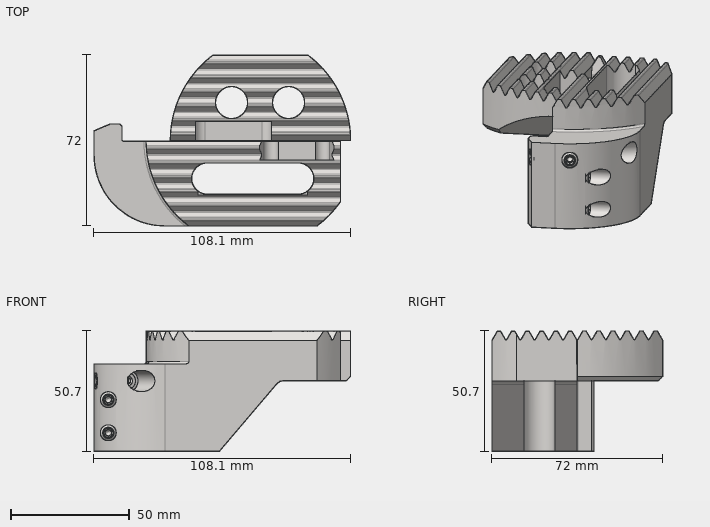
import cadquery as cq
import math

half_depth = 36.0
arc_radius = 45.0
jaw_bottom = 29.6

teeth_per_jaw = 6
tooth_pitch = half_depth / teeth_per_jaw
crest_width = 1.4
crest_radius = 0.5
root_radius = 0.3
flank_angle = 60.0
flank_width = (tooth_pitch - crest_width) / 2

front_crest = 50.6
front_back = 35.8
front_length = 103.9
front_arc_x = 66.9
step_top = 36.8
step_fillet = 1.0
corner_radius = 29.9
foot_length = 52.9
slope_end = 78.0
slope_fillet = 4.0
hook_slant_start = (0, 40.1)
hook_slant_end = (6.8, 43.0)
hook_inner_x = 11.9
hook_tip_chamfer = 1.0
hook_root_fillet = 0.5

slot_left, slot_right = 41.2, 92.5
slot_y = 20.0
slot_width = 13.1
relief_left, relief_right = 43.8, 89.9
relief_front = 13.1
relief_floor = 46.6

notch_back = 27.9
notch_left, notch_right = 71.6, 99.2
notch_floor = 43.2
notch_flare = 1.8
groove_radius = 3.0

rear_crest = 50.7
rear_left, rear_right = 32.1, 108.1
rear_back = 2 * half_depth
rear_edge_chamfer = 1.9
bevel_height = 40.8
rear_hole_x = (57.9, 81.9)
rear_hole_y = 52.0
rear_hole_diameter = 13.4
pocket_left, pocket_right = 42.7, 74.8
pocket_back = 44.1
pocket_floor = 33.5
pocket_fillet = 4.1

screw_radius = 3.4
screw_chamfer = 1.0
hex_flats = 2.6
hex_depth = 2.7
socket_mouth_radius = 1.9
side_screw_x = 6.0
side_screw_heights = (7.8, 21.7)
side_screw_face_y = 16.5
side_screw_length = 13.0
upper_screw_z = 29.6
cross_slant_fraction = 0.46
cross_screw_length = 28.6
cross_bore_diameter = 9.0
lock_screw_y = 23.8
lock_screw_recess = 0.2
lock_screw_length = 5.0

over = 10.8


def box(x0, x1, y0, y1, z0, z1):
    """Axis-aligned block between two corners."""
    return cq.Workplane("XY").box(x1 - x0, y1 - y0, z1 - z0, centered=False).translate((x0, y0, z0))


def toothed_block(y_start, crest):
    """Long block under the tooth profile of one jaw, with rounded crests and roots."""
    root = crest - flank_width * math.tan(math.radians(flank_angle))
    y_end = y_start + half_depth
    points = [(y_start, root)]
    for i in range(teeth_per_jaw):
        y = y_start + i * tooth_pitch
        points += [
            (y + flank_width, crest),
            (y + flank_width + crest_width, crest),
            (y + tooth_pitch, root),
        ]
    block = (
        cq.Workplane("YZ")
        .polyline(points + [(y_end, 0), (y_start, 0)])
        .close()
        .extrude(rear_right)
    )
    block = block.edges("|X and >Z").fillet(crest_radius)
    inner_roots = cq.selectors.BoxSelector(
        (-over, y_start + tooth_pitch / 2, root - root_radius),
        (rear_right + over, y_end - tooth_pitch / 2, root + root_radius),
    )
    return block.edges("|X").edges(inner_roots).fillet(root_radius)


def rod(start, direction, radius, length):
    """Cylinder from a start point along a direction."""
    return cq.Workplane(cq.Solid.makeCylinder(radius, length, start, direction))


slant_start = cq.Vector(*hook_slant_start, upper_screw_z)
slant_end = cq.Vector(*hook_slant_end, upper_screw_z)
slant_along = (slant_end - slant_start).normalized()
cross_face = slant_start + (slant_end - slant_start) * cross_slant_fraction
cross_direction = cq.Vector(slant_along.y, -slant_along.x, 0)
cross_front = cross_face + cross_direction * cross_screw_length

lock_angle = math.asin((corner_radius - lock_screw_y) / corner_radius)
lock_direction = cq.Vector(math.cos(lock_angle), math.sin(lock_angle), 0)
corner_centre = cq.Vector(corner_radius, corner_radius, upper_screw_z)
lock_face = corner_centre - lock_direction * (corner_radius - lock_screw_recess)

side_direction = cq.Vector(0, 1, 0)
side_faces = [cq.Vector(side_screw_x, side_screw_face_y, z) for z in side_screw_heights]


def front_plan():
    """Full plan outline of the front jaw with the hook on its left, extruded to the crests."""
    diagonal = corner_radius * (1 - math.sqrt(0.5))
    outline = (
        cq.Workplane("XY")
        .moveTo(0, corner_radius)
        .threePointArc((diagonal, diagonal), (corner_radius, 0))
        .lineTo(front_length, 0)
        .lineTo(front_length, front_back)
        .lineTo(hook_inner_x, front_back)
        .lineTo(hook_inner_x, hook_slant_end[1])
        .lineTo(*hook_slant_end)
        .lineTo(*hook_slant_start)
        .close()
        .extrude(front_crest)
    )
    hook_tip = cq.selectors.NearestToPointSelector((hook_inner_x, hook_slant_end[1], front_crest / 2))
    outline = outline.edges(hook_tip).chamfer(hook_tip_chamfer)
    hook_root = cq.selectors.NearestToPointSelector((hook_inner_x, front_back, front_crest / 2))
    return outline.edges(hook_root).fillet(hook_root_fillet)


def front_side_profile():
    """Side outline of the front jaw: foot, slope and raised plate."""
    profile = (
        cq.Workplane("XZ")
        .moveTo(0, 0)
        .lineTo(foot_length, 0)
        .lineTo(slope_end, jaw_bottom)
        .lineTo(front_length, jaw_bottom)
        .lineTo(front_length, front_crest)
        .lineTo(0, front_crest)
        .close()
        .extrude(-hook_slant_end[1])
    )
    bend = cq.selectors.NearestToPointSelector((slope_end, hook_slant_end[1] / 2, jaw_bottom))
    return profile.edges(bend).fillet(slope_fillet)


def front_step_and_disc():
    """Low step everywhere plus the round toothed disc, filleted where they meet."""
    step = box(0, front_arc_x, 0, hook_slant_end[1], 0, step_top)
    disc = cq.Workplane("XY").center(front_arc_x, half_depth).circle(arc_radius).extrude(front_crest)
    seam = (
        cq.Workplane("XY", origin=(front_arc_x, half_depth, step_top))
        .circle(arc_radius + step_fillet)
        .extrude(step_fillet)
    )
    ring = cq.Workplane(cq.Solid.makeTorus(
        arc_radius + step_fillet, step_fillet,
        cq.Vector(front_arc_x, half_depth, step_top + step_fillet), cq.Vector(0, 0, 1)))
    seam = seam.cut(ring).intersect(box(0, front_arc_x, 0, half_depth, 0, front_crest))
    return step.union(disc).union(seam)


def front_slot():
    """Through slot with the shallow straight relief at its front edge."""
    slot = (
        cq.Workplane("XY")
        .center((slot_left + slot_right) / 2, slot_y)
        .slot2D(slot_right - slot_left, slot_width)
        .extrude(front_crest)
    )
    return slot.union(box(relief_left, relief_right, relief_front, slot_y, relief_floor, front_crest))


def front_notch():
    """Flared notch with a round groove at each end of its floor."""
    notch = (
        cq.Workplane("XZ", origin=(0, half_depth, 0))
        .moveTo(notch_left, notch_floor)
        .lineTo(notch_right, notch_floor)
        .lineTo(notch_right + notch_flare, front_crest)
        .lineTo(notch_left - notch_flare, front_crest)
        .close()
        .extrude(half_depth - notch_back)
    )
    for x in (notch_left + groove_radius, notch_right - groove_radius):
        start = cq.Vector(x, notch_back, notch_floor)
        notch = notch.union(rod(start, side_direction, groove_radius, half_depth - notch_back))
    return notch


def hook_and_teeth():
    """Tooth profile over the jaw, extended backwards below the step for the hook."""
    hook = box(0, hook_inner_x + hook_root_fillet, 0, hook_slant_end[1], 0, step_top)
    return toothed_block(0, front_crest).union(hook)


def front_jaw():
    jaw = front_plan().intersect(front_side_profile()).intersect(front_step_and_disc())
    jaw = jaw.intersect(hook_and_teeth())
    jaw = jaw.cut(front_slot()).cut(front_notch())
    jaw = jaw.cut(rod(cross_face, cross_direction, screw_radius, cross_screw_length))
    jaw = jaw.cut(rod(cross_front, cross_direction, cross_bore_diameter / 2, corner_radius))
    for face in side_faces:
        mouth = cq.Vector(face.x, 0, face.z)
        jaw = jaw.cut(rod(mouth, side_direction, screw_radius, side_screw_face_y + side_screw_length))
    mouth = lock_face - lock_direction * over
    return jaw.cut(rod(mouth, lock_direction, screw_radius, over + lock_screw_length))


def rear_plan():
    """Rear jaw blank: two side arcs, each square to the parting plane, cut off at the back."""
    def inset(dy):
        return arc_radius - math.sqrt(arc_radius ** 2 - dy ** 2)

    middle = inset(half_depth / 2)
    back = inset(half_depth)
    middle_y = half_depth * 1.5
    return (
        cq.Workplane("XY", origin=(0, 0, jaw_bottom))
        .moveTo(rear_left, half_depth)
        .lineTo(rear_right, half_depth)
        .threePointArc((rear_right - middle, middle_y), (rear_right - back, rear_back))
        .lineTo(rear_left + back, rear_back)
        .threePointArc((rear_left + middle, middle_y), (rear_left, half_depth))
        .close()
        .extrude(rear_crest - jaw_bottom)
        .faces("<Z").edges("not <Y").chamfer(rear_edge_chamfer)
    )


def rear_bevel():
    """Wedge below the 45 degree bevel under the left tip."""
    reach = bevel_height - jaw_bottom + over
    return (
        cq.Workplane("XZ", origin=(0, half_depth, 0))
        .moveTo(rear_left - over, bevel_height + over)
        .lineTo(rear_left + reach, bevel_height - reach)
        .lineTo(rear_left - over, bevel_height - reach)
        .close()
        .extrude(-half_depth)
    )


def rear_pocket():
    """Deep pocket open to the parting plane, with rounded floor ends."""
    pocket = box(pocket_left, pocket_right, half_depth, pocket_back, pocket_floor, rear_crest)
    return pocket.edges("|Y and <Z").fillet(pocket_fillet)


def rear_jaw():
    jaw = rear_plan().cut(rear_bevel())
    jaw = jaw.intersect(toothed_block(half_depth, rear_crest))
    holes = (
        cq.Workplane("XY")
        .pushPoints([(x, rear_hole_y) for x in rear_hole_x])
        .circle(rear_hole_diameter / 2)
        .extrude(rear_crest)
    )
    return jaw.cut(holes).cut(rear_pocket())


def hex_socket(face, direction):
    """Hex hole with a countersunk mouth and a conical bottom."""
    plane = cq.Plane(origin=face, xDir=(0, 0, 1), normal=direction)
    hex_hole = cq.Workplane(plane).polygon(6, hex_flats / math.cos(math.pi / 6)).extrude(hex_depth)
    mouth = cq.Solid.makeCone(socket_mouth_radius, 0, socket_mouth_radius, face, direction)
    bottom_radius = hex_flats / 2
    bottom = cq.Solid.makeCone(bottom_radius, 0, bottom_radius, face + direction * hex_depth, direction)
    return hex_hole.union(cq.Workplane(mouth)).union(cq.Workplane(bottom))


def set_screw(face, direction, length):
    """Headless screw with a chamfered drive end and a hex socket."""
    screw = rod(face, direction, screw_radius, length)
    drive_end = cq.selectors.NearestToPointSelector(face)
    screw = screw.faces(drive_end).chamfer(screw_chamfer)
    return screw.cut(hex_socket(face, direction))


cross_screw = set_screw(cross_face, cross_direction, cross_screw_length)
cross_screw = cross_screw.cut(hex_socket(cross_front, cross_direction * -1))
lock_screw = set_screw(lock_face, lock_direction, lock_screw_length)
side_screws = [set_screw(face, side_direction, side_screw_length) for face in side_faces]

result = cq.Compound.makeCompound([
    front_jaw().val(),
    rear_jaw().val(),
    cross_screw.val(),
    lock_screw.val(),
    *[screw.val() for screw in side_screws],
])